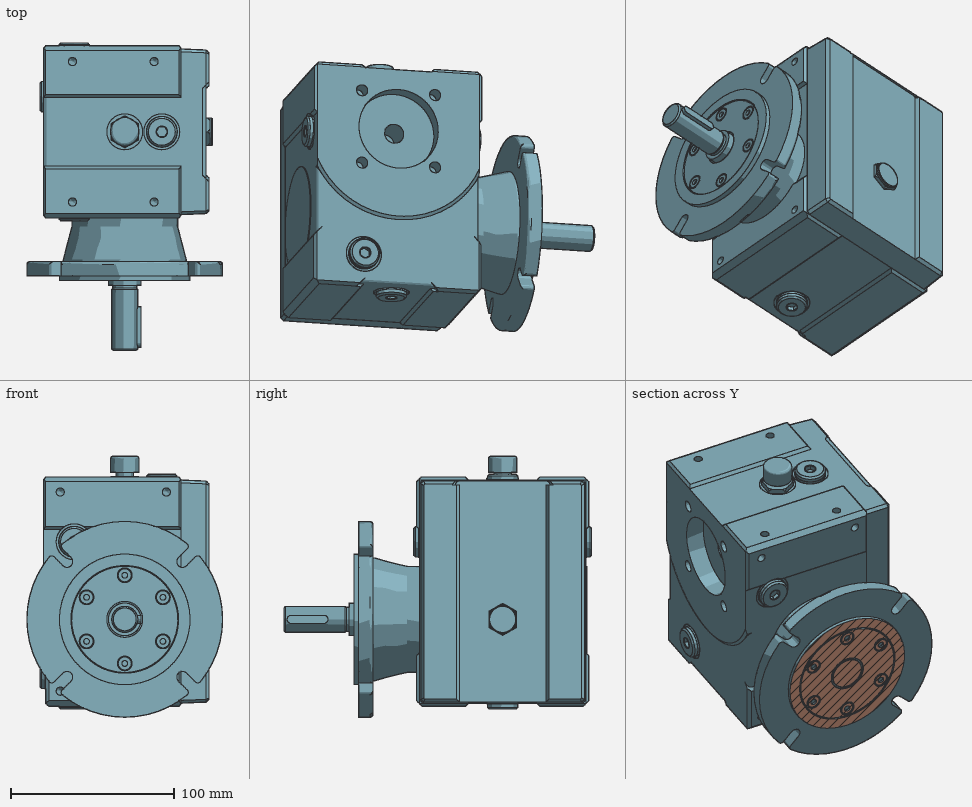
import cadquery as cq
import math


HEX_SIDES = 6
HEX_RATIO = math.cos(math.pi / HEX_SIDES)

HALF_DEPTH = 52.8
TOP_Z = 87.2
BOTTOM_Z = -53.3
MOTOR_FACE_X = -49.8
LOWER_FACE_X = -48.5
JOINT_X = 34.6
PAD_HEIGHT = 1.8
PAD_RAMP = 1.8
TOP_EDGE_CHAMFER = 2.9
BOTTOM_EDGE_CHAMFER = 3.5
FACE_CHAMFER = 1.4
LOWER_CHAMFER = 2.0
PANEL_HALF_WIDTH = 21.0
SIDE_PANEL_TOP = 55.1
SIDE_PANEL_BOTTOM = -20.5
PANEL_TOP_Z = TOP_Z - PAD_HEIGHT
PANEL_BOTTOM_Z = BOTTOM_Z + PAD_HEIGHT
PANEL_DEPTH = HALF_DEPTH - PAD_HEIGHT
PANEL_FILLET = 3.0
TOP_BEVEL_X = 1.9
TOP_BEVEL_Z = 0.3
CLEAR = 20.0

INPUT_Z = 47.5
MOTOR_FACE_RADIUS = 55.5
MOTOR_FACE_SLOPE = 1.9
MOTOR_SPIGOT_DIAMETER = 50.0
MOTOR_SPIGOT_DEPTH = 11.6
WORM_BORE_DIAMETER = 12.0
WORM_BORE_DEPTH = 25.0
MOTOR_BOLT_CIRCLE = 65.0
MOTOR_BOLT_DIAMETER = 7.0
MOTOR_BOLT_DEPTH = 12.0

PAD_HOLE_DIAMETER = 5.0
PAD_HOLE_DEPTH = 10.0
DRILL_HALF_ANGLE = math.radians(59)
TOP_HOLE_X = (-32.0, 18.0)
TOP_HOLE_Y = 43.0
FRONT_HOLE_X = (-39.5, 25.5)
FRONT_HOLE_Z = (78.0, -44.0)

COVER_X = 51.7
COVER_HALF_DEPTH = 50.8
COVER_TOP_Z = 85.4
COVER_BOTTOM_Z = -51.4
COVER_DRAFT = 2.4
COVER_CHAMFER = 1.8
COVER_NOTCH_DEPTH = 1.8
COVER_NOTCH_HALF_WIDTH = 26.5
COVER_NOTCH_FILLET = 2.4

WASHER_DIAMETER = 19.0
WASHER_HEIGHT = 1.4
PLUG_DIAMETER = 18.7
PLUG_HEIGHT = 3.49
PLUG_CHAMFER = 1.1
SPOTFACE_DIAMETER = 22.0
SPOTFACE_DEPTH = 1.0
SOCKET_DIAMETER = 7.0
SOCKET_RIM_DEPTH = 0.4
SOCKET_FLATS = 6.0
SOCKET_DEPTH = 3.5
PLUG_X = -31.0
TOP_PLUG_X = 22.7
LOWER_PLUG_Y = 21.5
LOWER_PLUG_Z = -33.0

HEX_FLATS = 17.0
HEX_CORNERS = HEX_FLATS / HEX_RATIO
HEX_BEVEL_ANGLE = math.radians(30)
BREATHER_HEX_HEIGHT = 2.2
BREATHER_NECK_DIAMETER = 10.8
BREATHER_CAP_DIAMETER = 17.5
BREATHER_CAP_BOTTOM = 90.0
BREATHER_TOP = 100.0
BREATHER_CAP_FILLET = 1.6
COVER_BOLT_HEX_HEIGHT = 2.2
COVER_BOLT_END_X = 53.6
COVER_BOLT_CHAMFER = 0.5

NECK_DIAMETER = 65.0
NECK_END_Y = -58.3
CONE_DIAMETER = 75.5
CONE_END_Y = -78.5
FLANGE_DIAMETER = 120.0
FLANGE_BACK_Y = -79.4
FLANGE_FACE_Y = -88.2
FLANGE_FILLET = 2.0
SLOT_COUNT = 4
SLOT_WIDTH = 7.0
SLOT_CIRCLE = 100.0
SLOT_CORNER = 2.0
SPIGOT_DIAMETER = 80.0
SPIGOT_FACE_Y = -91.2
REAR_BOSS_HEIGHT = 0.6

SEAL_BORE_DIAMETER = 66.0
DISC_DIAMETER = 65.0
DISC_RECESS = 0.5
DISC_FACE_Y = SPIGOT_FACE_Y + DISC_RECESS
DISC_GROOVE_DEPTH = 1.5
SCREW_COUNT = 6
SCREW_CIRCLE = 54.0
SCREW_POCKET_DIAMETER = 9.0
SCREW_HEAD_DIAMETER = 8.0
SCREW_GROOVE_DEPTH = 1.0
SCREW_SOCKET_DIAMETER = 3.5
SCREW_SOCKET_DEPTH = 1.5

SHAFT_DIAMETER = 16.0
SHAFT_END_Y = -134.0
SHAFT_CHAMFER = 1.0
COLLAR_DIAMETER = 20.0
COLLAR_END_Y = -94.0
RELIEF_DIAMETER = 15.0
RELIEF_END_Y = -95.6
SHAFT_BORE_DIAMETER = 22.0
SHAFT_BORE_DEPTH = 1.0
KEY_WIDTH = 5.0
KEY_END_FLAT = 0.05
KEY_TOP_X = 10.0
KEY_START_Y = -107.0
KEY_END_Y = -132.0


def block(x_range, y_range, z_range):
    """Box between two limits along each axis."""
    limits = (x_range, y_range, z_range)
    sizes = [high - low for low, high in limits]
    corner = tuple(low for low, high in limits)
    return cq.Workplane("XY").box(*sizes, centered=False).translate(corner)


def round_bar(start, direction, diameter, length):
    """Cylinder growing from a point along a direction."""
    bar = cq.Solid.makeCylinder(diameter / 2, length, cq.Vector(*start), cq.Vector(*direction))
    return cq.Workplane(bar)


def shaft_disc(diameter, start_y, end_y):
    """Cylinder on the output shaft axis, from start_y towards -Y."""
    return round_bar((0, start_y, 0), (0, -1, 0), diameter, start_y - end_y)


def taper(near_x, near_ranges, far_x, far_ranges):
    """Straight-sided body between two YZ rectangles at two X positions."""
    wires = []
    for x, (y_range, z_range) in ((near_x, near_ranges), (far_x, far_ranges)):
        corners = [
            cq.Vector(x, y_range[0], z_range[0]),
            cq.Vector(x, y_range[1], z_range[0]),
            cq.Vector(x, y_range[1], z_range[1]),
            cq.Vector(x, y_range[0], z_range[1]),
        ]
        wires.append(cq.Wire.makePolygon(corners, close=True))
    return cq.Workplane(cq.Solid.makeLoft(wires, True))


def housing_prism():
    """Bar along X over the mounting pads, from the motor face to the joint."""
    prism = block((MOTOR_FACE_X, JOINT_X), (-HALF_DEPTH, HALF_DEPTH), (BOTTOM_Z, TOP_Z))
    prism = prism.faces(">Z").edges("|X").chamfer(TOP_EDGE_CHAMFER)
    return prism.faces("<Z").edges("|X").chamfer(BOTTOM_EDGE_CHAMFER)


def sloped_end(face_x, slope_x):
    """End of the housing: panel level at face_x, pad level at slope_x."""
    panel_level = ((-PANEL_DEPTH, PANEL_DEPTH), (PANEL_BOTTOM_Z, PANEL_TOP_Z))
    pad_level = ((-HALF_DEPTH, HALF_DEPTH), (BOTTOM_Z, TOP_Z))
    return taper(face_x, panel_level, slope_x, pad_level)


def chamfered_case(face_x, face_chamfer):
    """Housing block over the mounting pads, its -X face at face_x."""
    slope_x = face_x + face_chamfer
    joint_slope_x = JOINT_X - FACE_CHAMFER
    case = block((slope_x, joint_slope_x), (-HALF_DEPTH, HALF_DEPTH), (BOTTOM_Z, TOP_Z))
    case = case.union(sloped_end(face_x, slope_x)).union(sloped_end(JOINT_X, joint_slope_x))
    return case.intersect(housing_prism())


def motor_face_zone():
    """Space taken by the raised motor face: straight above, round below."""
    thickness = LOWER_FACE_X - MOTOR_FACE_X
    disc = cq.Workplane(
        cq.Solid.makeCone(
            MOTOR_FACE_RADIUS,
            MOTOR_FACE_RADIUS + MOTOR_FACE_SLOPE,
            thickness,
            cq.Vector(MOTOR_FACE_X, 0, INPUT_Z),
            cq.Vector(1, 0, 0),
        )
    )
    upper = block((MOTOR_FACE_X, JOINT_X), (-HALF_DEPTH, HALF_DEPTH), (INPUT_Z, TOP_Z))
    root_diameter = 2 * (MOTOR_FACE_RADIUS + MOTOR_FACE_SLOPE)
    root = round_bar((LOWER_FACE_X, 0, INPUT_Z), (1, 0, 0), root_diameter, PANEL_FILLET)
    return upper.union(disc).union(root)


def panel_channel(panel_low, panel_high, outline_plane, floor, outward):
    """Channel along X that leaves raised pads with sloped ends on both sides."""
    rise = PAD_HEIGHT * outward
    reach = CLEAR / PAD_HEIGHT
    points = [
        (panel_low, floor),
        (panel_high, floor),
        (panel_high + PAD_RAMP * reach, floor + rise * reach),
        (panel_low - PAD_RAMP * reach, floor + rise * reach),
    ]
    if outline_plane == "side":
        points = [(b, a) for a, b in points]
    length = JOINT_X - MOTOR_FACE_X + 2 * CLEAR
    return cq.Workplane("YZ", origin=(MOTOR_FACE_X - CLEAR, 0, 0)).polyline(points).close().extrude(length)


def channel_fillet(face_point, inward, outward, low, high, radius):
    """Cutter rounding the edge where a channel floor runs out at an end face.

    The floor faces outward and the end face lies across the inward direction.
    The cutter ends in 45 degree planes that cross the floor at low and high,
    measured from face_point along outward x inward.
    """
    run_out = low - PAD_HEIGHT
    corner = block((0, radius), (run_out, high + PAD_HEIGHT), (-radius, PAD_HEIGHT))
    rounding = round_bar((radius, low, -radius), (0, 1, 0), 2 * radius, high - low)
    between_ramps = (
        cq.Workplane("YZ")
        .polyline(
            [
                (run_out, PAD_HEIGHT),
                (high + PAD_HEIGHT, PAD_HEIGHT),
                (high - radius, -radius),
                (low + radius, -radius),
            ]
        )
        .close()
        .extrude(radius)
    )
    cutter = corner.cut(rounding).intersect(between_ramps)
    place = cq.Location(cq.Plane(face_point, xDir=inward, normal=outward))
    return cq.Workplane(cutter.val().moved(place))


def make_housing():
    """Housing with corner pads, recessed panels and a raised motor face."""
    half = PANEL_HALF_WIDTH
    housing = chamfered_case(LOWER_FACE_X, LOWER_CHAMFER)
    housing = housing.cut(panel_channel(-half, half, "top", PANEL_BOTTOM_Z, -1))
    for side in (1, -1):
        housing = housing.cut(
            panel_channel(SIDE_PANEL_BOTTOM, SIDE_PANEL_TOP, "side", side * PANEL_DEPTH, side)
        )

    inward = (1, 0, 0)
    bottom_edge = (LOWER_FACE_X, 0, PANEL_BOTTOM_Z)
    bottom_half = half + PANEL_FILLET
    housing = housing.cut(
        channel_fillet(bottom_edge, inward, (0, 0, -1), -bottom_half, bottom_half, PANEL_FILLET)
    )
    side_middle_z = (SIDE_PANEL_TOP + SIDE_PANEL_BOTTOM) / 2
    side_half = (SIDE_PANEL_TOP - SIDE_PANEL_BOTTOM) / 2
    for side in (1, -1):
        side_edge = (LOWER_FACE_X, side * PANEL_DEPTH, side_middle_z)
        housing = housing.cut(
            channel_fillet(side_edge, inward, (0, side, 0), -side_half, side_half, PANEL_FILLET)
        )

    raised = chamfered_case(MOTOR_FACE_X, FACE_CHAMFER).intersect(motor_face_zone())
    for side in (1, -1):
        raised = raised.cut(
            panel_channel(SIDE_PANEL_BOTTOM, SIDE_PANEL_TOP, "side", side * PANEL_DEPTH, side)
        )
    housing = housing.union(raised)
    housing = housing.cut(panel_channel(-half, half, "top", PANEL_TOP_Z, 1))
    top_bevel = taper(
        MOTOR_FACE_X,
        ((-half, half), (PANEL_TOP_Z - TOP_BEVEL_Z, PANEL_TOP_Z + PAD_HEIGHT)),
        MOTOR_FACE_X + TOP_BEVEL_X,
        ((-half, half), (PANEL_TOP_Z, PANEL_TOP_Z + PAD_HEIGHT)),
    )
    return housing.cut(top_bevel)


def make_cover():
    """Drafted side cover with a full-height notch in its +X face."""
    width = COVER_X - JOINT_X
    height = COVER_TOP_Z - COVER_BOTTOM_Z
    middle_z = (COVER_TOP_Z + COVER_BOTTOM_Z) / 2
    cover = (
        cq.Workplane("YZ", origin=(JOINT_X, 0, middle_z))
        .rect(2 * COVER_HALF_DEPTH, height)
        .extrude(width, taper=COVER_DRAFT)
    )
    cover = cover.edges("not(#X)").chamfer(COVER_CHAMFER)
    cover = cover.faces(">X").edges().chamfer(COVER_CHAMFER)

    floor_x = COVER_X - COVER_NOTCH_DEPTH
    low = COVER_BOTTOM_Z - CLEAR
    high = COVER_TOP_Z + CLEAR
    half = COVER_NOTCH_HALF_WIDTH
    wide = half + COVER_NOTCH_DEPTH
    notch = taper(floor_x, ((-half, half), (low, high)), COVER_X, ((-wide, wide), (low, high)))
    edge_z = COVER_TOP_Z - (floor_x - JOINT_X) * math.tan(math.radians(COVER_DRAFT))
    edge = (floor_x, 0, edge_z)
    fillet_half = half + COVER_NOTCH_FILLET
    return cover.cut(notch).cut(
        channel_fillet(edge, (0, 0, -1), (1, 0, 0), -fillet_half, fillet_half, COVER_NOTCH_FILLET)
    )


def cut_motor_face(body):
    """Motor spigot seat, worm bore and motor bolt holes."""
    inward = (1, 0, 0)
    body = body.cut(round_bar((MOTOR_FACE_X, 0, INPUT_Z), inward, MOTOR_SPIGOT_DIAMETER, MOTOR_SPIGOT_DEPTH))
    floor_x = MOTOR_FACE_X + MOTOR_SPIGOT_DEPTH
    body = body.cut(round_bar((floor_x, 0, INPUT_Z), inward, WORM_BORE_DIAMETER, WORM_BORE_DEPTH))
    offset = MOTOR_BOLT_CIRCLE / 2 * math.sin(math.pi / 4)
    for y in (-offset, offset):
        for z in (INPUT_Z - offset, INPUT_Z + offset):
            body = body.cut(round_bar((MOTOR_FACE_X, y, z), inward, MOTOR_BOLT_DIAMETER, MOTOR_BOLT_DEPTH))
    return body


def drilled_hole(start, direction):
    """Blind hole with a drill point."""
    hole = round_bar(start, direction, PAD_HOLE_DIAMETER, PAD_HOLE_DEPTH)
    axis = cq.Vector(*direction)
    tip_height = PAD_HOLE_DIAMETER / 2 / math.tan(DRILL_HALF_ANGLE)
    tip_start = cq.Vector(*start) + axis * PAD_HOLE_DEPTH
    tip = cq.Solid.makeCone(PAD_HOLE_DIAMETER / 2, 0, tip_height, tip_start, axis)
    return hole.union(cq.Workplane(tip))


def drill_pads(body):
    """Blind holes in the top and front mounting pads."""
    for x in TOP_HOLE_X:
        for y in (-TOP_HOLE_Y, TOP_HOLE_Y):
            body = body.cut(drilled_hole((x, y, TOP_Z), (0, 0, -1)))
    for x in FRONT_HOLE_X:
        for z in FRONT_HOLE_Z:
            body = body.cut(drilled_hole((x, -HALF_DEPTH, z), (0, 1, 0)))
    return body


def spotface(body, seat, direction):
    """Shallow round seat, cut through neighbouring pad slopes as well."""
    floor = cq.Vector(*seat) - cq.Vector(*direction) * SPOTFACE_DEPTH
    height = SPOTFACE_DEPTH + PAD_HEIGHT
    return body.cut(round_bar(floor.toTuple(), direction, SPOTFACE_DIAMETER, height))


def add_plug(body, seat, direction):
    """Round screw plug with a socket, standing in a shallow spot face."""
    body = spotface(body, seat, direction)
    axis = cq.Vector(*direction)
    root = cq.Vector(*seat) - axis * SPOTFACE_DEPTH
    plane = cq.Plane(root, normal=axis)
    washer = cq.Workplane(plane).circle(WASHER_DIAMETER / 2).extrude(WASHER_HEIGHT)
    plug = cq.Workplane(plane).circle(PLUG_DIAMETER / 2).extrude(PLUG_HEIGHT + SPOTFACE_DEPTH)
    plug = plug.faces(cq.DirectionMinMaxSelector(axis)).edges().chamfer(PLUG_CHAMFER)
    top = cq.Vector(*seat) + axis * PLUG_HEIGHT
    rim = round_bar(top.toTuple(), (-axis).toTuple(), SOCKET_DIAMETER, SOCKET_RIM_DEPTH)
    socket_plane = cq.Plane(top, normal=-axis)
    socket = cq.Workplane(socket_plane).polygon(HEX_SIDES, SOCKET_FLATS / HEX_RATIO).extrude(SOCKET_DEPTH)
    return body.union(washer).union(plug.cut(rim).cut(socket))


def add_plugs(body):
    """Oil plugs on the top, bottom, motor side, front and rear."""
    body = add_plug(body, (TOP_PLUG_X, 0, PANEL_TOP_Z), (0, 0, 1))
    body = add_plug(body, (PLUG_X, 0, PANEL_BOTTOM_Z), (0, 0, -1))
    body = add_plug(body, (LOWER_FACE_X, LOWER_PLUG_Y, LOWER_PLUG_Z), (-1, 0, 0))
    for side in (1, -1):
        body = add_plug(body, (PLUG_X, side * PANEL_DEPTH, INPUT_Z), (0, side, 0))
    return body


def hex_head(plane, height):
    """Hexagon head whose corners are trimmed by a 30 degree cone."""
    head = cq.Workplane(plane).polygon(HEX_SIDES, HEX_CORNERS).extrude(height)
    bevel = (HEX_CORNERS - HEX_FLATS) / 2
    trim = cq.Workplane(plane).circle(HEX_CORNERS / 2).extrude(height)
    top_edge = trim.faces(cq.DirectionMinMaxSelector(plane.zDir)).edges()
    trim = top_edge.chamfer(bevel, bevel * math.tan(HEX_BEVEL_ANGLE))
    return head.intersect(trim)


def add_breather(body):
    """Breather valve: hexagon, neck and round cap."""
    body = spotface(body, (0, 0, PANEL_TOP_Z), (0, 0, 1))
    root_z = PANEL_TOP_Z - SPOTFACE_DEPTH
    seat = cq.Plane(origin=(0, 0, root_z), xDir=(0, 1, 0), normal=(0, 0, 1))
    head = hex_head(seat, BREATHER_HEX_HEIGHT + SPOTFACE_DEPTH)
    up = (0, 0, 1)
    neck = round_bar((0, 0, root_z), up, BREATHER_NECK_DIAMETER, BREATHER_CAP_BOTTOM - root_z)
    cap_height = BREATHER_TOP - BREATHER_CAP_BOTTOM
    cap = round_bar((0, 0, BREATHER_CAP_BOTTOM), up, BREATHER_CAP_DIAMETER, cap_height)
    cap = cap.faces(">Z").edges().fillet(BREATHER_CAP_FILLET)
    return body.union(head).union(neck).union(cap)


def add_cover_bolt(body):
    """Hexagon with a round cap on the notch floor of the cover."""
    seat_x = COVER_X - COVER_NOTCH_DEPTH
    seat = cq.Plane(origin=(seat_x, 0, 0), xDir=(0, 0, 1), normal=(1, 0, 0))
    head = hex_head(seat, COVER_BOLT_HEX_HEIGHT)
    cap = round_bar((seat_x, 0, 0), (1, 0, 0), HEX_FLATS, COVER_BOLT_END_X - seat_x)
    cap = cap.faces(">X").edges().chamfer(COVER_BOLT_CHAMFER)
    return body.union(head).union(cap)


def slot_cutter():
    """Open flange slot along +X, its mouth flaring out round the rim corners."""
    rim = FLANGE_DIAMETER / 2
    half = SLOT_WIDTH / 2
    center = SLOT_CIRCLE / 2
    corner_z = half + SLOT_CORNER
    corner_x = math.sqrt((rim - SLOT_CORNER) ** 2 - corner_z**2)
    mouth_x = corner_x * rim / (rim - SLOT_CORNER)
    mouth_z = corner_z * rim / (rim - SLOT_CORNER)
    mid_angle = (math.atan2(corner_z, corner_x) - math.pi / 2) / 2
    mid_x = corner_x + SLOT_CORNER * math.cos(mid_angle)
    mid_z = corner_z + SLOT_CORNER * math.sin(mid_angle)
    outside = rim + SLOT_CORNER
    return (
        cq.Workplane("XZ", origin=(0, FLANGE_BACK_Y, 0))
        .moveTo(corner_x, -half)
        .lineTo(center, -half)
        .threePointArc((center - half, 0), (center, half))
        .lineTo(corner_x, half)
        .threePointArc((mid_x, mid_z), (mouth_x, mouth_z))
        .lineTo(outside, mouth_z)
        .lineTo(outside, -mouth_z)
        .lineTo(mouth_x, -mouth_z)
        .threePointArc((mid_x, -mid_z), (corner_x, -half))
        .close()
        .extrude(FLANGE_BACK_Y - FLANGE_FACE_Y)
    )


def make_flange():
    """Neck, cone and slotted flange, turned about the shaft axis."""
    outline = [
        (0, -PANEL_DEPTH),
        (NECK_DIAMETER / 2, -PANEL_DEPTH),
        (NECK_DIAMETER / 2, NECK_END_Y),
        (CONE_DIAMETER / 2, CONE_END_Y),
        (CONE_DIAMETER / 2, FLANGE_BACK_Y),
        (0, FLANGE_BACK_Y),
    ]
    neck = cq.Workplane("XY").polyline(outline).close().revolve(360, (0, 0, 0), (0, 1, 0))

    plate = shaft_disc(FLANGE_DIAMETER, FLANGE_BACK_Y, FLANGE_FACE_Y)
    plate = plate.faces(">Y").edges().fillet(FLANGE_FILLET)
    slot = slot_cutter()
    for index in range(SLOT_COUNT):
        angle = (index + 0.5) * 360 / SLOT_COUNT
        plate = plate.cut(slot.rotate((0, 0, 0), (0, 1, 0), angle))
    spigot = shaft_disc(SPIGOT_DIAMETER, FLANGE_FACE_Y, SPIGOT_FACE_Y)
    return plate.union(neck).union(spigot)


def ring(center, outer_diameter, inner_diameter, depth):
    """Annular cutter sunk into a face that looks to -Y."""
    inward = (0, 1, 0)
    outer = round_bar(center, inward, outer_diameter, depth)
    return outer.cut(round_bar(center, inward, inner_diameter, depth))


def cut_seal_disc(body):
    """Gap around the seal disc, its ring of screws and the shaft opening."""
    inward = (0, 1, 0)
    disc_center = (0, DISC_FACE_Y, 0)
    body = body.cut(round_bar((0, SPIGOT_FACE_Y, 0), inward, SEAL_BORE_DIAMETER, DISC_RECESS))
    body = body.cut(ring(disc_center, SEAL_BORE_DIAMETER, DISC_DIAMETER, DISC_GROOVE_DEPTH))
    body = body.cut(ring(disc_center, SHAFT_BORE_DIAMETER, COLLAR_DIAMETER, SHAFT_BORE_DEPTH))
    for index in range(SCREW_COUNT):
        angle = math.radians(90 + index * 360 / SCREW_COUNT)
        center = (
            SCREW_CIRCLE / 2 * math.cos(angle),
            DISC_FACE_Y,
            SCREW_CIRCLE / 2 * math.sin(angle),
        )
        body = body.cut(ring(center, SCREW_POCKET_DIAMETER, SCREW_HEAD_DIAMETER, SCREW_GROOVE_DEPTH))
        body = body.cut(round_bar(center, inward, SCREW_SOCKET_DIAMETER, SCREW_SOCKET_DEPTH))
    return body


def make_shaft():
    """Output shaft with collar, relief groove and key."""
    collar = shaft_disc(COLLAR_DIAMETER, DISC_FACE_Y, COLLAR_END_Y)
    relief = shaft_disc(RELIEF_DIAMETER, COLLAR_END_Y, RELIEF_END_Y)
    journal = shaft_disc(SHAFT_DIAMETER, RELIEF_END_Y, SHAFT_END_Y).edges().chamfer(SHAFT_CHAMFER)
    key = block((0, KEY_TOP_X), (KEY_END_Y, KEY_START_Y), (-KEY_WIDTH / 2, KEY_WIDTH / 2))
    key = key.edges("|X").fillet(KEY_WIDTH / 2 - KEY_END_FLAT)
    return collar.union(relief).union(journal).union(key)


def make_rear_boss():
    """Low round boss on the rear panel, opposite the output neck."""
    return round_bar((0, PANEL_DEPTH, 0), (0, 1, 0), NECK_DIAMETER, REAR_BOSS_HEIGHT)


body = make_housing().union(make_cover())
body = cut_motor_face(body)
body = drill_pads(body)
body = body.union(make_rear_boss())
body = add_plugs(body)
body = add_breather(body)
body = add_cover_bolt(body)
body = body.union(make_flange())
body = cut_seal_disc(body)
result = body.union(make_shaft())